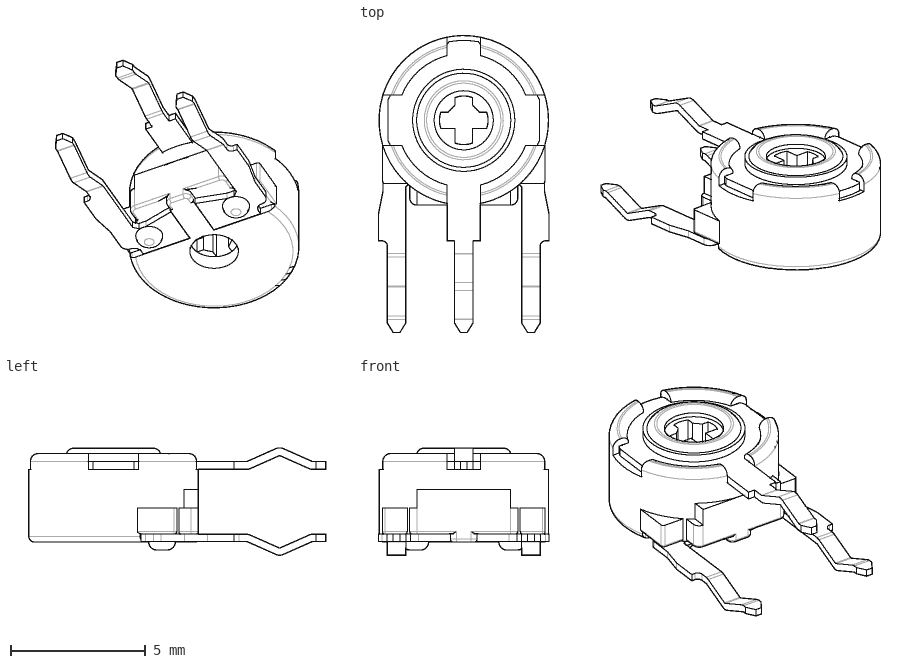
import cadquery as cq
import math

LENGTH = 11.04
WIDTH = 6.35

HOUSING_D = 6.3
HOUSING_R = HOUSING_D / 2
HOUSING_H = 3.3
BASE_FILLET = 0.22
LIP_ROUND = 0.3
LIP_BORE_R = 2.48
FLOOR_TOP = 0.6

PLATE_T = 0.3
PLATE_TOP = HOUSING_H - LIP_ROUND
PLATE_BOTTOM = PLATE_TOP - PLATE_T
PLATE_D = 5.5
SIDE_TAB_HALF_X = 2.82
SIDE_TAB_BEVEL_X = 0.09
SIDE_TAB_BEVEL_Y = 0.18
REAR_TAB_R = 2.97
REAR_TAB_CHAMFER = 0.08
SIDE_SLOT_W = 1.87
LUG_W = 1.24

ROTOR_D = 3.8
ROTOR_TOP = 3.5
ROTOR_SHOULDER = HOUSING_H
RING_ROUND = 0.3
RING_OUTER_CREST_R = 1.47
RING_INNER_CREST_R = 1.38
WELL_FLOOR = 3.14
CROSS_D = 1.8
CROSS_ARM_X_W = 0.6
CROSS_ARM_Y_W = 0.64
CROSS_CHAMFER = 0.26

PIN_W = 0.7
SHOULDER_Y = -4.48
BEND_START_Y = -4.96
BEND_END_Y = -7.39
BEND_R = 0.05
BEND_ANGLE = math.radians(24.0)
TAPER_Y = -7.53
TIP_Y = HOUSING_R - LENGTH
TIP_W = 0.25

STRIP_T = 0.28
STRIP_TOP = 0.3
STRIP_BOTTOM = STRIP_TOP - STRIP_T
PIN_X = 2.5
STRIP_INNER_X = PIN_X - PIN_W / 2
STRIP_EDGE_X = 3.0
STRIP_HALF_SPAN = WIDTH / 2
SHOULDER_FILLET = 0.19
FLARE_START_Y = -2.64
FLARE_END_Y = -3.49
NECK_R = 0.29
NECK_START_Y = -1.77
PAD_FRONT_Y = -2.31
PAD_CORNER_X = 1.98
PAD_SLOPE_START_X = 1.68
PAD_SLOPE_END_Y = -2.59

BLOCK_TOP = 1.28
BLOCK_EDGE = 0.1
SIDE_BLOCK_X = 3.02
SIDE_BLOCK_FRONT_Y = -2.35
FRONT_BLOCK_HALF_W = 2.01
FRONT_BLOCK_ROUND = 0.26
FRONT_BLOCK_TOP = 1.97

RECESS_INNER_X = 0.5
RECESS_BACK_Y = -1.03
BACK_MOUTH_R = 0.13
RECESS_MOUTH_Y = RECESS_BACK_Y + BACK_MOUTH_R
FRONT_MOUTH_R = 0.22
TAB_FILLET = 0.12

RIVET_XY = 1.8
RIVET_SHANK_D = 0.7
RIVET_HEAD_D = 1.0
RIVET_BOTTOM = -0.3

PICK_REACH = 0.01


def box(x0, x1, y0, y1, z0, z1):
    """Box between two opposite corners."""
    return cq.Workplane("XY").box(x1 - x0, y1 - y0, z1 - z0, centered=False).translate((x0, y0, z0))


def disc(diameter, z0, z1):
    """Upright cylinder on the Z axis."""
    return cq.Workplane("XY").workplane(offset=z0).circle(diameter / 2).extrude(z1 - z0)


def mirrored_pair(body):
    """A body together with its mirror image across the YZ plane."""
    return body.union(body.mirror("YZ"))


def edges_near(x, y, z):
    """Selector for edges centred close to a point."""
    return cq.selectors.BoxSelector(
        (x - PICK_REACH, y - PICK_REACH, z - PICK_REACH),
        (x + PICK_REACH, y + PICK_REACH, z + PICK_REACH))


def pin(thickness):
    """Pin on x = 0 with its flat face on z = 0, kinked towards +Z, with a tapered tip."""
    peak_y = (BEND_START_Y + BEND_END_Y) / 2
    setback = thickness * math.tan(BEND_ANGLE / 2)
    rise = (BEND_START_Y - setback - peak_y) * math.tan(BEND_ANGLE)
    outer_peak = rise + thickness / math.cos(BEND_ANGLE)
    strip = (
        cq.Workplane("YZ")
        .polyline([
            (SHOULDER_Y, 0),
            (BEND_START_Y - setback, 0),
            (peak_y, rise),
            (BEND_END_Y + setback, 0),
            (TIP_Y, 0),
            (TIP_Y, thickness),
            (BEND_END_Y, thickness),
            (peak_y, outer_peak),
            (BEND_START_Y, thickness),
            (SHOULDER_Y, thickness),
        ])
        .close()
        .extrude(PIN_W / 2, both=True)
    )
    outer_corners = (edges_near(0, BEND_START_Y - setback, 0) + edges_near(0, BEND_END_Y + setback, 0)
                     + edges_near(0, peak_y, outer_peak))
    strip = strip.edges(outer_corners).fillet(thickness + BEND_R)
    inner_corners = (edges_near(0, BEND_START_Y, thickness) + edges_near(0, BEND_END_Y, thickness)
                     + edges_near(0, peak_y, rise))
    strip = strip.edges(inner_corners).fillet(BEND_R)
    plan = (
        cq.Workplane("XY")
        .polyline([
            (-PIN_W / 2, SHOULDER_Y),
            (-PIN_W / 2, TAPER_Y),
            (-TIP_W / 2, TIP_Y),
            (TIP_W / 2, TIP_Y),
            (PIN_W / 2, TAPER_Y),
            (PIN_W / 2, SHOULDER_Y),
        ])
        .close()
        .extrude(2 * outer_peak)
    )
    return strip.intersect(plan)


def make_plate_terminal():
    """Contact plate under the lip, its lug and the centre pin."""
    plate = disc(PLATE_D, PLATE_BOTTOM, PLATE_TOP)
    bevel_x = SIDE_TAB_HALF_X - SIDE_TAB_BEVEL_X
    bevel_y = SIDE_SLOT_W / 2 - SIDE_TAB_BEVEL_Y
    side_tab = (
        cq.Workplane("XY").workplane(offset=PLATE_BOTTOM)
        .polyline([
            (0, -SIDE_SLOT_W / 2),
            (-bevel_x, -SIDE_SLOT_W / 2),
            (-SIDE_TAB_HALF_X, -bevel_y),
            (-SIDE_TAB_HALF_X, bevel_y),
            (-bevel_x, SIDE_SLOT_W / 2),
            (0, SIDE_SLOT_W / 2),
        ])
        .close()
        .extrude(PLATE_T)
    )
    side_tabs = mirrored_pair(side_tab)
    rear_tab = box(-LUG_W / 2, LUG_W / 2, 0, HOUSING_R, PLATE_BOTTOM, PLATE_TOP)
    rear_tab = rear_tab.intersect(disc(2 * REAR_TAB_R, PLATE_BOTTOM, PLATE_TOP))
    rear_tab = rear_tab.edges("|Z and (not <Y)").chamfer(REAR_TAB_CHAMFER)
    lug = box(-LUG_W / 2, LUG_W / 2, SHOULDER_Y, -ROTOR_D / 2, PLATE_BOTTOM, PLATE_TOP)
    rotor_hole = disc(ROTOR_D, PLATE_BOTTOM, PLATE_TOP)
    centre_pin = pin(PLATE_T).translate((0, 0, PLATE_BOTTOM))
    return plate.union(side_tabs).union(rear_tab).union(lug).cut(rotor_hole).union(centre_pin)


def make_side_terminal(side):
    """Flat strip on one side (-1 or +1) whose pad is riveted under the housing."""
    edge_x = -STRIP_EDGE_X
    pad_corner_run = STRIP_INNER_X - PAD_CORNER_X
    neck_mid = (edge_x + NECK_R, NECK_START_Y + NECK_R)
    neck_end = (edge_x + 2 * NECK_R, NECK_START_Y + 2 * NECK_R)
    diagonal = NECK_R * math.sqrt(0.5)
    strip = (
        cq.Workplane("XY").workplane(offset=STRIP_BOTTOM)
        .moveTo(-STRIP_INNER_X, SHOULDER_Y)
        .lineTo(-STRIP_INNER_X, PAD_FRONT_Y - pad_corner_run)
        .lineTo(-PAD_CORNER_X, PAD_FRONT_Y)
        .lineTo(-PAD_SLOPE_START_X, PAD_FRONT_Y)
        .lineTo(-RECESS_INNER_X, PAD_SLOPE_END_Y)
        .lineTo(-RECESS_INNER_X, RECESS_BACK_Y)
        .lineTo(neck_end[0], RECESS_BACK_Y)
        .lineTo(*neck_end)
        .threePointArc((neck_end[0] - NECK_R + diagonal, neck_end[1] - diagonal), neck_mid)
        .threePointArc((neck_mid[0] - diagonal, NECK_START_Y + diagonal), (edge_x, NECK_START_Y))
        .lineTo(edge_x, FLARE_START_Y)
        .lineTo(-STRIP_HALF_SPAN, FLARE_END_Y)
        .lineTo(-STRIP_HALF_SPAN, SHOULDER_Y)
        .close()
        .extrude(STRIP_T)
    )
    rivet_hole = disc(RIVET_SHANK_D, STRIP_BOTTOM, STRIP_TOP).translate((-RIVET_XY, -RIVET_XY, 0))
    side_pin = pin(STRIP_T).mirror("XY").translate((-PIN_X, 0, STRIP_TOP))
    terminal = strip.cut(rivet_hole).union(side_pin)
    root = edges_near(-PIN_X - PIN_W / 2, SHOULDER_Y, (STRIP_TOP + STRIP_BOTTOM) / 2)
    terminal = terminal.edges(root).fillet(SHOULDER_FILLET)
    return terminal if side < 0 else terminal.mirror("YZ")


def make_rotor():
    """Turned rotor with a rounded top ring, a well and a cross-shaped driver hole."""
    round_z = ROTOR_TOP - RING_ROUND
    shoulder_rise = ROTOR_SHOULDER - round_z
    shoulder_run = math.sqrt(RING_ROUND**2 - shoulder_rise**2)
    mid_run = RING_ROUND * math.sqrt(0.5)
    mid_z = round_z + mid_run
    well_r = RING_INNER_CREST_R - shoulder_run
    rotor = (
        cq.Workplane("XZ")
        .moveTo(0, FLOOR_TOP)
        .lineTo(ROTOR_D / 2, FLOOR_TOP)
        .lineTo(ROTOR_D / 2, ROTOR_SHOULDER)
        .lineTo(RING_OUTER_CREST_R + shoulder_run, ROTOR_SHOULDER)
        .threePointArc((RING_OUTER_CREST_R + mid_run, mid_z), (RING_OUTER_CREST_R, ROTOR_TOP))
        .lineTo(RING_INNER_CREST_R, ROTOR_TOP)
        .threePointArc((RING_INNER_CREST_R - mid_run, mid_z), (well_r, ROTOR_SHOULDER))
        .lineTo(well_r, WELL_FLOOR)
        .lineTo(0, WELL_FLOOR)
        .close()
        .revolve(360, (0, 0), (0, 1))
    )
    half_x = CROSS_ARM_Y_W / 2
    half_y = CROSS_ARM_X_W / 2
    reach = CROSS_D / 2
    cross = box(-reach, reach, -half_y, half_y, FLOOR_TOP, ROTOR_TOP)
    cross = cross.union(box(-half_x, half_x, -reach, reach, FLOOR_TOP, ROTOR_TOP))
    corner_fill = (
        cq.Workplane("XY").workplane(offset=FLOOR_TOP)
        .polyline([
            (-half_x - CROSS_CHAMFER, half_y),
            (-half_x, half_y + CROSS_CHAMFER),
            (half_x, half_y + CROSS_CHAMFER),
            (half_x + CROSS_CHAMFER, half_y),
        ])
        .close()
        .extrude(ROTOR_TOP - FLOOR_TOP)
    )
    cross = cross.union(corner_fill).intersect(disc(CROSS_D, FLOOR_TOP, ROTOR_TOP))
    return rotor.cut(cross)


def housing_cup():
    """Solid of revolution: rounded base, straight wall and domed lip."""
    corner = LIP_ROUND * math.sqrt(0.5)
    outer_crest = HOUSING_R - LIP_ROUND
    inner_crest = LIP_BORE_R + LIP_ROUND
    base_mid = BASE_FILLET * (1 - math.sqrt(0.5))
    return (
        cq.Workplane("XZ")
        .lineTo(HOUSING_R - BASE_FILLET, 0)
        .threePointArc((HOUSING_R - base_mid, base_mid), (HOUSING_R, BASE_FILLET))
        .lineTo(HOUSING_R, PLATE_TOP)
        .threePointArc((outer_crest + corner, PLATE_TOP + corner), (outer_crest, HOUSING_H))
        .lineTo(inner_crest, HOUSING_H)
        .threePointArc((inner_crest - corner, PLATE_TOP + corner), (LIP_BORE_R, PLATE_TOP))
        .lineTo(0, PLATE_TOP)
        .close()
        .revolve(360, (0, 0), (0, 1))
    )


def side_block():
    """Block on the -X side, rounded at its outer corner and bottom edges."""
    block = box(-SIDE_BLOCK_X, -ROTOR_D / 2, SIDE_BLOCK_FRONT_Y, RECESS_MOUTH_Y, STRIP_TOP, BLOCK_TOP)
    block = block.edges("|Z and <X and <Y").fillet(BLOCK_EDGE)
    return block.faces("<Z").edges("<X or <Y").fillet(BLOCK_EDGE)


def front_block():
    """Stepped block at the front of the wall with rounded lower corners."""
    lower = box(-FRONT_BLOCK_HALF_W, FRONT_BLOCK_HALF_W, -HOUSING_R, -ROTOR_D / 2, STRIP_TOP, BLOCK_TOP)
    lower = lower.edges("|Z and <Y").fillet(FRONT_BLOCK_ROUND)
    lower = lower.faces("<Z").edges("not >Y").fillet(BLOCK_EDGE)
    half = FRONT_BLOCK_HALF_W - FRONT_BLOCK_ROUND
    upper = box(-half, half, -HOUSING_R, -ROTOR_D / 2, BLOCK_TOP, FRONT_BLOCK_TOP)
    return lower.union(upper)


def locating_tab():
    """Tab between the two recesses, flush with the front block."""
    half = RECESS_INNER_X
    tab = box(-half, half, -HOUSING_R, -ROTOR_D / 2, 0, STRIP_TOP + BLOCK_EDGE)
    tab = tab.edges("|Z and <Y").fillet(FRONT_MOUTH_R)
    return tab.faces("<Z").edges("not >Y").fillet(TAB_FILLET)


def rivet():
    """Shank through the side terminal with a rounded head below it."""
    head_h = STRIP_BOTTOM - RIVET_BOTTOM
    corner = head_h * math.sqrt(0.5)
    crest = RIVET_HEAD_D / 2 - head_h
    head = (
        cq.Workplane("XZ")
        .moveTo(0, STRIP_BOTTOM)
        .lineTo(RIVET_HEAD_D / 2, STRIP_BOTTOM)
        .threePointArc((crest + corner, STRIP_BOTTOM - corner), (crest, RIVET_BOTTOM))
        .lineTo(0, RIVET_BOTTOM)
        .close()
        .revolve(360, (0, 0), (0, 1))
    )
    shank = disc(RIVET_SHANK_D, STRIP_BOTTOM, STRIP_TOP)
    return head.union(shank).translate((-RIVET_XY, -RIVET_XY, 0))


def recess():
    """Cutter for the -X terminal recess, open to the side and front, its back mouth rounded."""
    reach = HOUSING_D
    arc_start_x = -SIDE_BLOCK_X + BACK_MOUTH_R
    arc_run = BACK_MOUTH_R * math.sqrt(0.5)
    return (
        cq.Workplane("XY")
        .moveTo(-RECESS_INNER_X, -reach)
        .lineTo(-RECESS_INNER_X, RECESS_BACK_Y)
        .lineTo(arc_start_x, RECESS_BACK_Y)
        .threePointArc((arc_start_x - arc_run, RECESS_MOUTH_Y - arc_run), (-SIDE_BLOCK_X, RECESS_MOUTH_Y))
        .lineTo(-reach, RECESS_MOUTH_Y)
        .lineTo(-reach, -reach)
        .close()
        .extrude(STRIP_TOP)
    )


def make_housing():
    """Cup with its blocks, cut for the terminals, plate and rotor."""
    reach = HOUSING_D
    tab_gap = box(-RECESS_INNER_X, RECESS_INNER_X, -reach, -HOUSING_R + 2 * FRONT_MOUTH_R, 0, STRIP_TOP)
    housing = housing_cup().cut(mirrored_pair(recess())).cut(tab_gap)
    housing = housing.union(mirrored_pair(side_block())).union(front_block()).union(locating_tab())
    housing = housing.union(mirrored_pair(rivet()))

    top = HOUSING_H
    housing = housing.cut(disc(PLATE_D, PLATE_BOTTOM, PLATE_TOP))
    housing = housing.cut(box(-reach, reach, -SIDE_SLOT_W / 2, SIDE_SLOT_W / 2, PLATE_BOTTOM, top))
    housing = housing.cut(box(-LUG_W / 2, LUG_W / 2, -reach, reach, PLATE_BOTTOM, top))
    housing = housing.cut(disc(ROTOR_D, FLOOR_TOP, top))
    return housing.cut(disc(CROSS_D, 0, FLOOR_TOP))


housing = make_housing()
plate_terminal = make_plate_terminal()
rotor = make_rotor()
side_terminals = [make_side_terminal(side) for side in (-1, 1)]

result = cq.Compound.makeCompound([
    housing.val(),
    plate_terminal.val(),
    rotor.val(),
    *[terminal.val() for terminal in side_terminals],
])